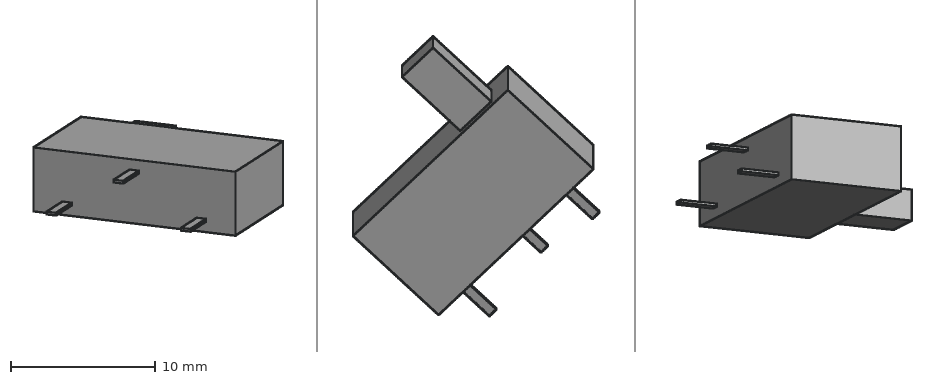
import cadquery as cq

body_width = 15.26
body_height = 4.62
overall_length = 16.81

pin_length = 2.77
pin_width = 0.7
pin_thickness = 0.2
pin_pitch = 5.08
outer_pin_height = 0.87
middle_pin_height = 3.77

actuator_length = 5.68
actuator_width = 3.06
actuator_height = 2.22
actuator_side_offset = 1.63
actuator_base_height = 0.79

body_length = overall_length - pin_length - actuator_length


def corner_box(width, length, height, corner):
    """Box extending along +X, +Y and +Z from its lowest corner."""
    return cq.Workplane("XY").box(width, length, height, centered=False).translate(corner)


def pin(center_x, center_z):
    """Flat pin reaching from the housing face toward -Y."""
    corner = (center_x - pin_width / 2, -pin_length, center_z - pin_thickness / 2)
    return corner_box(pin_width, pin_length, pin_thickness, corner)


body = corner_box(body_width, body_length, body_height, (-body_width / 2, 0, 0))

actuator_corner = (-body_width / 2 + actuator_side_offset, body_length, actuator_base_height)
actuator = corner_box(actuator_width, actuator_length, actuator_height, actuator_corner)

result = body.union(actuator)

pin_centers = [
    (-pin_pitch, outer_pin_height),
    (0, middle_pin_height),
    (pin_pitch, outer_pin_height),
]
for center_x, center_z in pin_centers:
    result = result.union(pin(center_x, center_z))